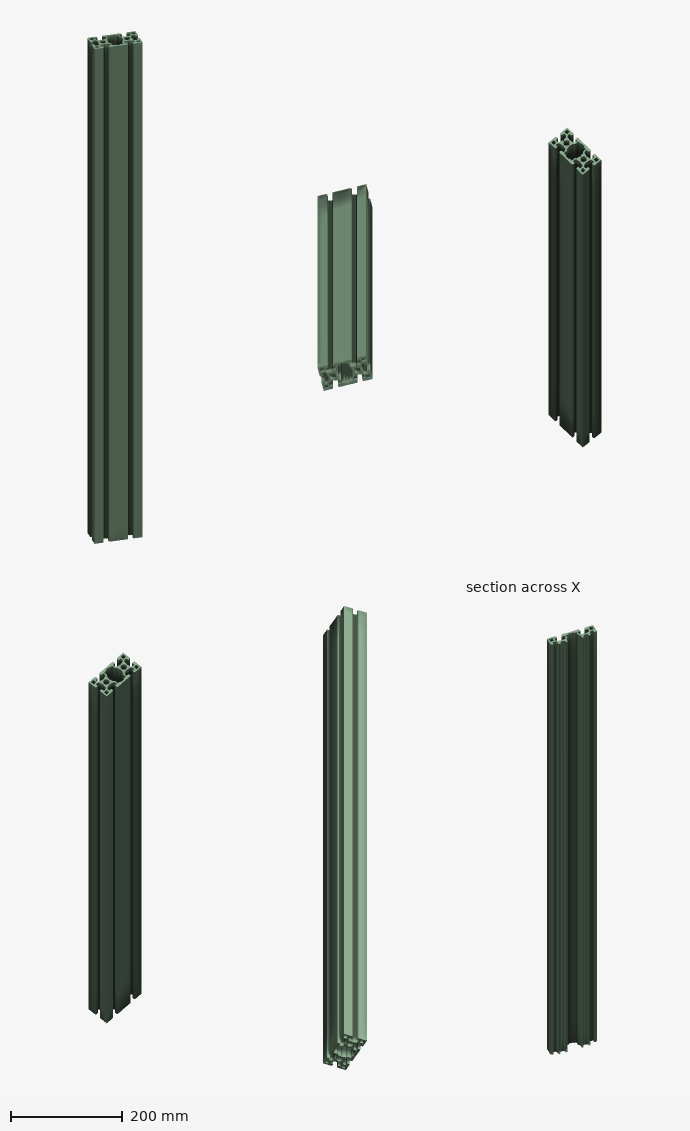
import cadquery as cq
import math

MODULE = 45.0
WIDTH = MODULE
HEIGHT = 2 * MODULE
LENGTH = 1000.0

MOUTH_HALF_WIDTH = 4.8
MOUTH_BEVEL_WIDTH = 1.0
MOUTH_BEVEL_DEPTH = 1.5
LIP_DEPTH = 5.5
CAVITY_HALF_WIDTH = 10.0
SHOULDER_DEPTH = 10.0

FLOOR_DEPTH = 13.75
FLOOR_HALF_WIDTH = 8.25
FLOOR_END_ANGLE = math.radians(19.5)
GROOVE_HALF_WIDTH = 1.5
GROOVE_DEPTH = GROOVE_HALF_WIDTH

BORE_DIAMETER = 11.2

CORNER_WALL = 3.0
CORNER_CHAMBER = 6.75

CHAMBER_HALF_WIDTH = 17.25
CHAMBER_HALF_HEIGHT = 10.25
POCKET_HALF_WIDTH = 19.0
POCKET_HALF_HEIGHT = 4.6

BAND_HALF_HEIGHT = 7.5
BAND_DEPTH = 0.2

OVERCUT = 1.0


def mirrored_prism(half_outline):
    """Extrude a half outline lying on +X and join it to its mirror image across X = 0."""
    half = half_outline.close().extrude(LENGTH)
    return half.union(half.mirror("YZ"))


def box(width, height, x=0.0, y=0.0):
    """Full-length rectangular bar centred on (x, y)."""
    return cq.Workplane("XY").center(x, y).rect(width, height).extrude(LENGTH)


def add_floor(outline):
    """Continue a half outline along the slot floor and into the apex of its V-groove."""
    radius = (FLOOR_HALF_WIDTH - GROOVE_HALF_WIDTH) / math.sin(FLOOR_END_ANGLE)

    def arc_point(angle):
        across = GROOVE_HALF_WIDTH + radius * math.sin(angle)
        rise = radius * (1 - math.cos(angle))
        return (across, rise - FLOOR_DEPTH)

    return (
        outline.lineTo(*arc_point(FLOOR_END_ANGLE))
        .threePointArc(arc_point(FLOOR_END_ANGLE / 2), arc_point(0))
        .lineTo(0, -FLOOR_DEPTH - GROOVE_DEPTH)
    )


def t_slot():
    """T-slot cutter opening towards +Y, with the outer face at Y = 0."""
    bevel_edge = MOUTH_HALF_WIDTH + MOUTH_BEVEL_WIDTH
    outline = (
        cq.Workplane("XY")
        .moveTo(0, OVERCUT)
        .lineTo(bevel_edge, OVERCUT)
        .lineTo(bevel_edge, 0)
        .lineTo(MOUTH_HALF_WIDTH, -MOUTH_BEVEL_DEPTH)
        .lineTo(MOUTH_HALF_WIDTH, -LIP_DEPTH)
        .lineTo(CAVITY_HALF_WIDTH, -LIP_DEPTH)
        .lineTo(CAVITY_HALF_WIDTH, -SHOULDER_DEPTH)
    )
    return mirrored_prism(add_floor(outline))


def chamber_end():
    """End of the large chamber at -Y: the inner part of a T-slot whose module face is Y = 0."""
    outline = (
        cq.Workplane("XY")
        .moveTo(0, 0)
        .lineTo(CAVITY_HALF_WIDTH, 0)
        .lineTo(CAVITY_HALF_WIDTH, -SHOULDER_DEPTH)
    )
    return mirrored_prism(add_floor(outline))


def turned(shape, degrees):
    return shape.rotate((0, 0, 0), (0, 0, 1), degrees)


def central_chamber():
    """Large chamber: wide bar, wall pockets, and a slot-shaped end towards each module."""
    chamber = box(2 * CHAMBER_HALF_WIDTH, 2 * CHAMBER_HALF_HEIGHT)
    chamber = chamber.union(box(2 * POCKET_HALF_WIDTH, 2 * POCKET_HALF_HEIGHT))
    end = chamber_end()
    return chamber.union(end).union(turned(end, 180))


def module_cuts():
    """Everything cut from the upper module: end slot, two side slots, bore, corner chambers."""
    slot = t_slot()
    centre_y = MODULE / 2
    corner_offset = CORNER_WALL + CORNER_CHAMBER / 2
    cuts = [
        slot.translate((0, HEIGHT / 2, 0)),
        cq.Workplane("XY").center(0, centre_y).circle(BORE_DIAMETER / 2).extrude(LENGTH),
    ]
    for side in (1, -1):
        cuts.append(turned(slot, -90 * side).translate((side * WIDTH / 2, centre_y, 0)))
        corner_x = side * (WIDTH / 2 - corner_offset)
        corner_y = HEIGHT / 2 - corner_offset
        cuts.append(box(CORNER_CHAMBER, CORNER_CHAMBER, corner_x, corner_y))
    return cuts


def face_band(side):
    """Shallow band cut into the wide face on the given X side."""
    return box(2 * BAND_DEPTH, 2 * BAND_HALF_HEIGHT, side * WIDTH / 2, 0)


body = box(WIDTH, HEIGHT).cut(central_chamber())
for cut in module_cuts():
    body = body.cut(cut).cut(turned(cut, 180))
for side in (1, -1):
    body = body.cut(face_band(side))

result = body.translate((0, 0, -LENGTH / 2))